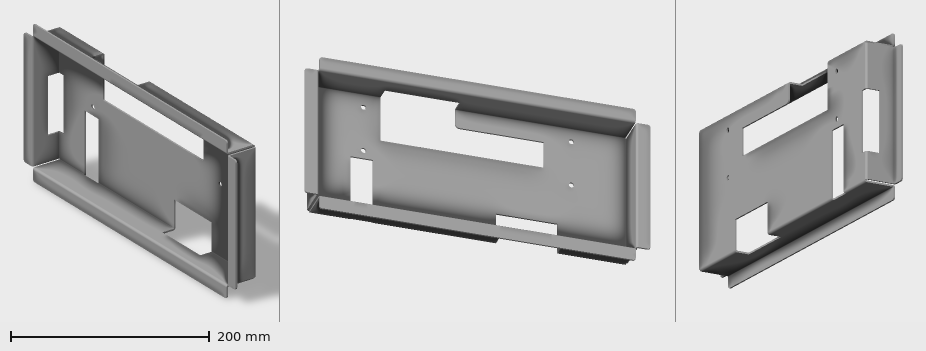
import cadquery as cq

sheet = 1.9
bend_inner = 0.6
bend_outer = bend_inner + sheet

overall_x = 366.33
overall_z = 176.35
depth = 35.05
cavity_x = 336.0
cavity_z = 146.0
flange_corner_radius = 3.0

front_y = -depth / 2
back_y = depth / 2

panel_half_x = cavity_x / 2 - bend_inner
panel_half_z = cavity_z / 2 - bend_inner

slot_left_x = -92.2
slot_step_x = -12.7
slot_right_x = 81.2
slot_top_z = 52.4
slot_bottom_z = 22.6
slot_step_radius = 4.5
slot_corner_radius = 1.0

tall_window_left_x = -124.2
tall_window_width = 24.2
tall_window_top_z = -1.5
wide_window_left_x = 30.1
wide_window_width = 65.3
wide_window_top_z = -40.3
side_window_right_x = -160.8
side_window_top_z = 23.7
side_window_height = 66.3

notch_depth = 16.0

hole_diameter = 5.5
hole_offset_x = 110.0
hole_top_z = 58.2
hole_bottom_z = 7.8


def box(x_range, y_range, z_range):
    """Box between the given (low, high) limits on each axis."""
    size = [high - low for low, high in (x_range, y_range, z_range)]
    corner = (x_range[0], y_range[0], z_range[0])
    return cq.Workplane("XY").box(*size, centered=False).translate(corner)


def quarter_bend(centre_x, centre_y, x_sign, y_sign, length):
    """Quarter ring of sheet about a line along Z, in the quadrant given by the signs."""
    z_range = (-length / 2, length / 2)
    ring = (
        cq.Workplane("XY", origin=(centre_x, centre_y, -length / 2))
        .circle(bend_outer)
        .circle(bend_inner)
        .extrude(length)
    )
    quadrant = box(
        sorted((centre_x, centre_x + x_sign * bend_outer)),
        sorted((centre_y, centre_y + y_sign * bend_outer)),
        z_range,
    )
    return ring.intersect(quadrant)


def bent_wall(inner_face, flange_end, length):
    """Wall on the +X side with its panel bend and its outward flange, centred along Z."""
    outer_face = inner_face + sheet
    panel_tangent = inner_face - bend_inner
    flange_tangent = outer_face + bend_inner
    bend_front_y = front_y + bend_outer
    bend_back_y = back_y - bend_outer
    z_range = (-length / 2, length / 2)

    wall = box((inner_face, outer_face), (bend_front_y, bend_back_y), z_range)
    flange = box((flange_tangent, flange_end), (front_y, front_y + sheet), z_range)
    flange = flange.edges("|Y and >X").fillet(flange_corner_radius)
    panel_bend = quarter_bend(panel_tangent, bend_back_y, 1, 1, length)
    flange_bend = quarter_bend(flange_tangent, bend_front_y, -1, -1, length)
    return wall.union(flange).union(panel_bend).union(flange_bend)


def tray():
    """Back panel with four flanged walls, open at the corners."""
    body = box(
        (-panel_half_x, panel_half_x),
        (back_y - sheet, back_y),
        (-panel_half_z, panel_half_z),
    )
    side_wall = bent_wall(cavity_x / 2, overall_x / 2, 2 * panel_half_z)
    long_wall = bent_wall(cavity_z / 2, overall_z / 2, 2 * panel_half_x)
    for wall, angles in ((side_wall, (0, 180)), (long_wall, (90, -90))):
        for angle in angles:
            body = body.union(wall.rotate((0, 0, 0), (0, 1, 0), angle))
    return body


def stepped_slot():
    """L-shaped slot whose tall left part runs out through the top wall."""
    y_range = (back_y - notch_depth, back_y)
    tall_part = box((slot_left_x, slot_step_x), y_range, (slot_bottom_z, overall_z / 2))
    low_part = box((slot_left_x, slot_right_x), y_range, (slot_bottom_z, slot_top_z))
    step_edge = cq.selectors.NearestToPointSelector((slot_step_x, sum(y_range) / 2, slot_top_z))
    slot = tall_part.union(low_part)
    slot = slot.edges("|Y").edges(step_edge).fillet(slot_step_radius)
    return slot.edges("|Y and (<Z or >X)").fillet(slot_corner_radius)


def bottom_window(left_x, width, top_z, cut_depth):
    """Window running down through the bottom wall, cut to a depth from the back."""
    return box((left_x, left_x + width), (back_y - cut_depth, back_y), (-overall_z / 2, top_z))


def side_window():
    """Window running out through the -X wall."""
    return box(
        (-overall_x / 2, side_window_right_x),
        (back_y - notch_depth, back_y),
        (side_window_top_z - side_window_height, side_window_top_z),
    )


def mounting_holes():
    """Four round holes through the panel."""
    centres = [(x, z) for x in (-hole_offset_x, hole_offset_x) for z in (hole_top_z, hole_bottom_z)]
    return (
        cq.Workplane("XZ", origin=(0, back_y, 0))
        .pushPoints(centres)
        .circle(hole_diameter / 2)
        .extrude(sheet)
    )


result = tray()
result = result.cut(stepped_slot())
result = result.cut(bottom_window(tall_window_left_x, tall_window_width, tall_window_top_z, bend_outer))
result = result.cut(bottom_window(wide_window_left_x, wide_window_width, wide_window_top_z, notch_depth))
result = result.cut(side_window())
result = result.cut(mounting_holes())